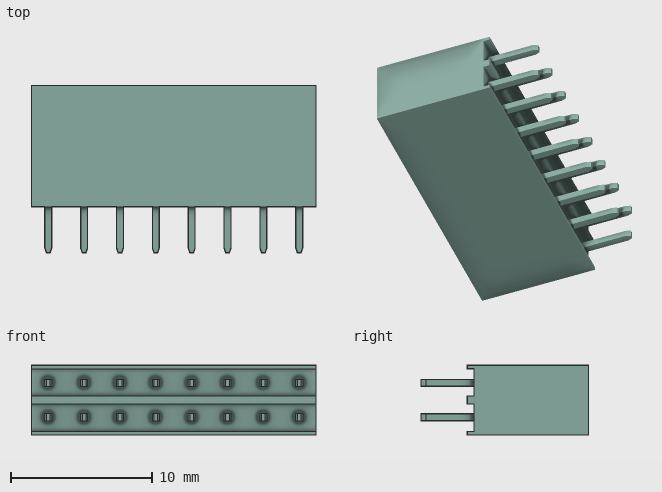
import cadquery as cq

length = 20.15
height = 4.95
housing_depth = 8.6
rail_depth = 0.48
outer_rail_height = 0.26
center_rail_height = 0.58

pins_per_row = 8
pin_pitch = 2.54
row_spacing = 2.44
pin_size = 0.5
pin_projection = 3.26
tip_length = 0.35
tip_width = 0.26

groove_height = (height - center_rail_height) / 2 - outer_rail_height
groove_center_z = (center_rail_height + groove_height) / 2


def make_housing():
    block = cq.Workplane("XY").box(length, housing_depth, height, centered=(True, False, True))
    for side in (-1, 1):
        groove = (
            cq.Workplane("XY")
            .box(length, rail_depth, groove_height, centered=(True, False, True))
            .translate((0, 0, side * groove_center_z))
        )
        block = block.cut(groove)
    return block


def make_pin():
    """One pin centred on x = 0 and z = 0, rooted on the groove floor."""
    return (
        cq.Workplane("XY")
        .moveTo(-pin_size / 2, rail_depth)
        .lineTo(-pin_size / 2, tip_length - pin_projection)
        .lineTo(-tip_width / 2, -pin_projection)
        .lineTo(tip_width / 2, -pin_projection)
        .lineTo(pin_size / 2, tip_length - pin_projection)
        .lineTo(pin_size / 2, rail_depth)
        .close()
        .extrude(pin_size / 2, both=True)
    )


result = make_housing()
pin = make_pin()
for column in range(pins_per_row):
    pin_x = (column - (pins_per_row - 1) / 2) * pin_pitch
    for side in (-1, 1):
        result = result.union(pin.translate((pin_x, 0, side * row_spacing / 2)))